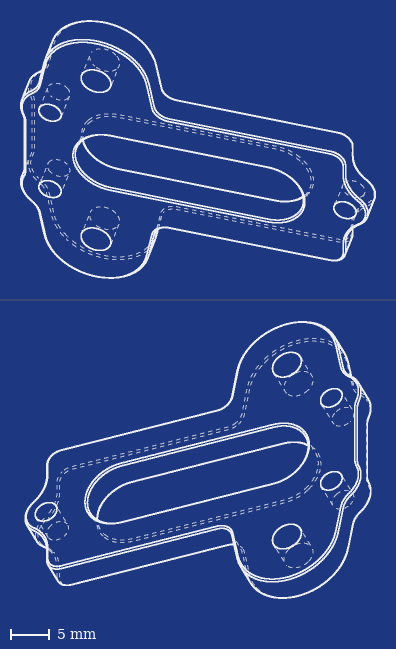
import cadquery as cq
import math

thickness = 4.0
edge_chamfer = 0.25

tab_x = 0.0
tab_z = 14.5
tab_radius = 7.115
tab_flare = 10.0
tab_hole_diameter = 4.0

ear_x = -6.15
ear_z = 7.0
ear_radius = 4.0
ear_projection = 0.5
ear_blend = 3.0

arm_half_height = 10.0
hole_span = 39.48
arm_end_x = ear_x + hole_span
arm_corner_radius = 2.0
arm_tab_blend = 2.0
nose_radius = 3.0
nose_blend = 5.0
small_hole_diameter = 3.0

slot_center_x = 12.43
slot_length = 30.55
slot_width = 9.5

left_wall_x = ear_x - ear_radius + ear_projection


def polar(center, radius, angle):
    """Point at the given radius and angle (degrees from +X toward +Z) around a center."""
    turn = math.radians(angle)
    return (center[0] + radius * math.cos(turn), center[1] + radius * math.sin(turn))


def arc_to(outline, center, radius, start_angle, end_angle):
    """Continue the outline with an arc from its current end."""
    middle = polar(center, radius, (start_angle + end_angle) / 2)
    return outline.threePointArc(middle, polar(center, radius, end_angle))


def upper_half():
    """Half of the plate above Z = 0, traced clockwise from the left wall."""
    ear = (ear_x, ear_z)
    tab = (tab_x, tab_z)
    nose = (arm_end_x, 0)
    left_normal = 180 - tab_flare
    right_normal = tab_flare

    ear_reach = ear_radius + ear_blend
    low_angle = 180 + math.degrees(math.acos((ear_x - left_wall_x + ear_blend) / ear_reach))
    low_center = polar(ear, ear_reach, low_angle)

    flare = math.radians(tab_flare)
    ear_offset = -(ear_x - tab_x) * math.cos(flare) + (ear_z - tab_z) * math.sin(flare)
    side_distance = tab_radius + ear_blend - ear_offset
    high_angle = left_normal - math.degrees(math.acos(side_distance / ear_reach))
    high_center = polar(ear, ear_reach, high_angle)

    blend_z = arm_half_height + arm_tab_blend
    blend_rise = (blend_z - tab_z) * math.sin(flare)
    blend_x = tab_x + (tab_radius + arm_tab_blend - blend_rise) / math.cos(flare)
    arm_blend = (blend_x, blend_z)

    corner = (arm_end_x - arm_corner_radius, arm_half_height - arm_corner_radius)

    nose_reach = nose_radius + nose_blend
    nose_angle = math.degrees(math.acos(nose_blend / nose_reach))
    nose_center = polar(nose, nose_reach, nose_angle)

    outline = cq.Workplane("XZ").moveTo(left_wall_x, 0)
    outline = outline.lineTo(*polar(low_center, ear_blend, 0))
    outline = arc_to(outline, low_center, ear_blend, 0, low_angle - 180)
    outline = arc_to(outline, ear, ear_radius, low_angle, high_angle)
    outline = arc_to(outline, high_center, ear_blend, high_angle - 180, left_normal - 180)
    outline = outline.lineTo(*polar(tab, tab_radius, left_normal))
    outline = arc_to(outline, tab, tab_radius, left_normal, right_normal)
    outline = outline.lineTo(*polar(arm_blend, arm_tab_blend, right_normal + 180))
    outline = arc_to(outline, arm_blend, arm_tab_blend, right_normal + 180, 270)
    outline = outline.lineTo(*polar(corner, arm_corner_radius, 90))
    outline = arc_to(outline, corner, arm_corner_radius, 90, 0)
    outline = outline.lineTo(*polar(nose_center, nose_blend, 180))
    outline = arc_to(outline, nose_center, nose_blend, 180, nose_angle + 180)
    outline = arc_to(outline, nose, nose_radius, nose_angle, 0)
    return outline.close().extrude(thickness / 2, both=True)


def through_holes(centers, diameter):
    """Cylinders that cut through the full thickness."""
    plane = cq.Workplane("XZ").pushPoints(centers)
    return plane.circle(diameter / 2).extrude(thickness, both=True)


def slot():
    """Full-radius slot along the arm."""
    plane = cq.Workplane("XZ").center(slot_center_x, 0)
    return plane.slot2D(slot_length, slot_width).extrude(thickness, both=True)


half = upper_half()
plate = half.union(half.mirror("XY")).clean()
plate = plate.cut(slot())

plate = plate.faces("<Y or >Y").edges().chamfer(edge_chamfer)

tab_holes = through_holes([(tab_x, tab_z), (tab_x, -tab_z)], tab_hole_diameter)
small_holes = through_holes([(ear_x, ear_z), (ear_x, -ear_z), (arm_end_x, 0)], small_hole_diameter)
result = plate.cut(tab_holes).cut(small_holes)